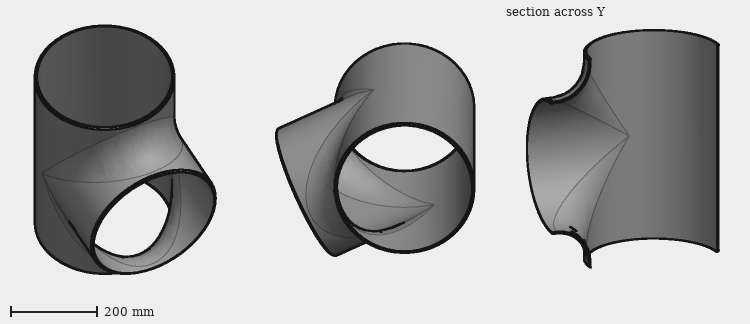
import cadquery as cq
import math

run_length = 508.0
branch_reach = 254.0
outer_diameter = 324.0
wall = 5.5
bevel_width = 4.0
bevel_length = 3.5
crotch_radius = 79.0

outer_radius = outer_diameter / 2
inner_radius = outer_radius - wall
crotch_center = outer_radius + crotch_radius
blend_steps = 6


def sector(slope):
    """Prism of the region |Z| < slope * X, wider than the whole tee."""
    reach = 2 * run_length
    outline = [(0, 0), (reach, slope * reach), (reach, -slope * reach)]
    return cq.Workplane("XZ").polyline(outline).close().extrude(reach, both=True)


def blend_wedge(radius):
    """Upper crotch filler, bounded by two planes through Y and the blend surface.

    Its section at any Y is the middle section scaled by the pipe half width there,
    so it shrinks to a point at Y = +radius and Y = -radius.
    """
    arc_radius = crotch_center - radius

    def arc_point(turn):
        return (crotch_center - arc_radius * math.cos(turn), crotch_center - arc_radius * math.sin(turn))

    def half_ellipse(x, z):
        return cq.Edge.makeEllipse(
            math.hypot(x, z), radius, cq.Vector(0, 0, 0), cq.Vector(-z, 0, x), cq.Vector(x, 0, z), -90, 90
        )

    turns = [math.pi / 2 * step / blend_steps for step in range(blend_steps + 1)]
    curves = [half_ellipse(*arc_point(turn)) for turn in turns]
    profiles = [cq.Wire.assembleEdges([curve]) for curve in curves]
    blend = cq.occ_impl.shapes.loft(*profiles)
    axis_edge = cq.Edge.makeLine(cq.Vector(0, -radius, 0), cq.Vector(0, radius, 0))
    sides = [
        cq.Face.makeFromWires(cq.Wire.assembleEdges([curve, axis_edge])) for curve in (curves[0], curves[-1])
    ]
    return cq.Workplane(cq.occ_impl.shapes.solid(*blend.Faces(), *sides))


def filled_tee(radius, bevelled):
    """Solid tee of the given pipe radius, with optional bevels on its three ends."""
    run = cq.Workplane("XY").circle(radius).extrude(run_length / 2, both=True)
    branch = cq.Workplane("YZ").circle(radius).extrude(branch_reach)
    if bevelled:
        run = run.faces("<Z").chamfer(bevel_length, bevel_width).faces(">Z").chamfer(bevel_length, bevel_width)
        branch = branch.faces(">X").chamfer(bevel_length, bevel_width)
    run = run.cut(sector(crotch_center / radius))
    branch = branch.intersect(sector(radius / crotch_center))
    upper_wedge = blend_wedge(radius)
    return run.union(upper_wedge).union(upper_wedge.mirror("XY")).union(branch)


result = filled_tee(outer_radius, True).cut(filled_tee(inner_radius, False))